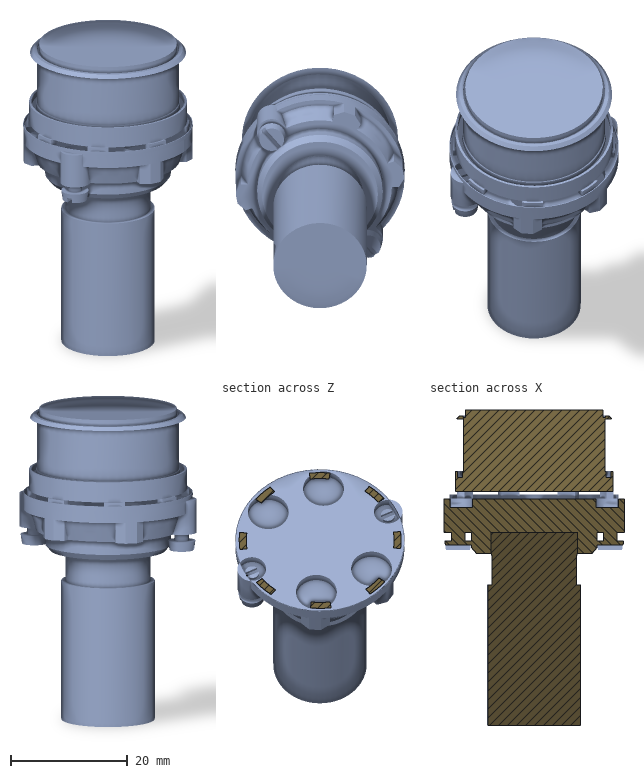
import cadquery as cq
import math

stem_step_z = 24.1
collar_bottom_z = 29.15
cup_bottom_z = 29.4
cup_chamfer_z = 30.4
cone_bottom_z = 32.95
flange_bottom_z = 36.6
flange_top_z = 38.8
lip_top_z = 39.5
skirt_bottom_z = 40.0
skirt_top_z = 43.5
rim_bottom_z = 52.4
rim_top_z = 53.0
head_top_z = 54.0

cap_radius = 23.55 / 2
cap_groove_radius = 12.15
cap_groove_depth = 0.3
rim_top_radius = 12.8
rim_bottom_radius = 13.35
barrel_radius = 12.15
skirt_radius = 13.5
skirt_groove_inner_radius = 12.35
skirt_groove_outer_radius = 13.1
skirt_groove_depth = 1.0

foot_count = 8
foot_start_angle = 11.2
foot_sweep_angle = 15.0
foot_inner_radius = 12.6
foot_outer_radius = 13.9

lip_radius = 14.5
lip_thickness = 0.12
flange_radius = 14.47
cone_top_radius = 13.5
cone_bottom_radius = 24.6 / 2
cup_radius = 21.5 / 2
cup_bottom_radius = 19.8 / 2

leg_angles = (30, 150, 210, 330)
leg_face_half_angle = 4.0
leg_root_half_angle = 10.5

leg_pocket_radius = 7.0 / 2
leg_pocket_wall = 0.4
leg_pocket_offset = flange_radius - leg_pocket_wall - leg_pocket_radius
leg_pocket_depth = 1.6
boss_pocket_depth = 1.5

boss_angles = (90, 270)
screw_offset = 13.0
boss_radius = 2.5
boss_pocket_radius = 2.4
screw_radius = 2.4 / 2
screw_tip_height = 0.5
screw_head_top_z = 31.6
screw_head_bottom_z = 29.95
screw_head_top_radius = 2.35
screw_head_bottom_radius = 2.1
slot_width = 0.85
slot_depth = 0.85

stem_radius = 16.0 / 2
neck_radius = 14.6 / 2
collar_radius = 14.7 / 2


def cylinder(radius, bottom_z, top_z, x=0.0, y=0.0):
    """Upright cylinder between two heights."""
    return cq.Workplane("XY", origin=(x, y, bottom_z)).circle(radius).extrude(top_z - bottom_z)


def cone(bottom_radius, top_radius, bottom_z, top_z, x=0.0, y=0.0):
    """Upright truncated cone between two heights."""
    solid = cq.Solid.makeCone(bottom_radius, top_radius, top_z - bottom_z, pnt=cq.Vector(x, y, bottom_z))
    return cq.Workplane(solid)


def tube(inner_radius, outer_radius, bottom_z, top_z):
    """Upright ring between two heights."""
    height = top_z - bottom_z
    base = cq.Workplane("XY", origin=(0, 0, bottom_z))
    return base.circle(outer_radius).circle(inner_radius).extrude(height)


def polar(radius, angle):
    """Point in the XY plane at a radius and an angle in degrees."""
    return radius * math.cos(math.radians(angle)), radius * math.sin(math.radians(angle))


def make_foot(start_angle):
    """Short arc-shaped block below the skirt."""
    end_angle = start_angle + foot_sweep_angle
    middle_angle = start_angle + foot_sweep_angle / 2
    return (
        cq.Workplane("XY", origin=(0, 0, flange_top_z))
        .moveTo(*polar(foot_inner_radius, start_angle))
        .lineTo(*polar(foot_outer_radius, start_angle))
        .threePointArc(polar(foot_outer_radius, middle_angle), polar(foot_outer_radius, end_angle))
        .lineTo(*polar(foot_inner_radius, end_angle))
        .threePointArc(polar(foot_inner_radius, middle_angle), polar(foot_inner_radius, start_angle))
        .close()
        .extrude(skirt_bottom_z - flange_top_z)
    )


def make_head():
    """Capped barrel with its rim, skirt and feet."""
    head = cylinder(skirt_radius, skirt_bottom_z, skirt_top_z)
    groove_bottom_z = skirt_top_z - skirt_groove_depth
    head = head.cut(tube(skirt_groove_inner_radius, skirt_groove_outer_radius, groove_bottom_z, skirt_top_z))
    head = head.union(cylinder(barrel_radius, skirt_bottom_z, rim_bottom_z))
    head = head.union(cone(rim_bottom_radius, rim_top_radius, rim_bottom_z, rim_top_z))
    head = head.union(cylinder(cap_radius, rim_bottom_z, head_top_z))
    head = head.cut(tube(cap_radius, cap_groove_radius, rim_top_z - cap_groove_depth, rim_top_z))
    for index in range(foot_count):
        head = head.union(make_foot(foot_start_angle + index * 360 / foot_count))
    return head


def make_leg(angle):
    """Wedge below the flange with a narrow outer face and two bevelled flanks."""
    return (
        cq.Workplane("XY", origin=(0, 0, cone_bottom_z))
        .moveTo(0, 0)
        .lineTo(*polar(cone_top_radius, angle - leg_root_half_angle))
        .lineTo(*polar(flange_radius, angle - leg_face_half_angle))
        .threePointArc(polar(flange_radius, angle), polar(flange_radius, angle + leg_face_half_angle))
        .lineTo(*polar(cone_top_radius, angle + leg_root_half_angle))
        .close()
        .extrude(flange_bottom_z - cone_bottom_z)
    )


def make_boss(angle):
    """Round screw boss with a straight web that runs in under the flange."""
    boss = cylinder(boss_radius, cone_bottom_z, flange_top_z, *polar(screw_offset, angle))
    web = (
        cq.Workplane("XY", origin=(0, 0, cone_bottom_z))
        .transformed(rotate=(0, 0, angle))
        .rect(screw_offset, 2 * boss_radius, centered=(False, True))
        .extrude(flange_bottom_z - cone_bottom_z)
    )
    return boss.union(web)


def make_pocket(radius, offset, angle, depth):
    """Round pocket in the flange top, kept inside the lip."""
    bottom_z = flange_top_z - depth
    pocket = cylinder(radius, bottom_z, flange_top_z, *polar(offset, angle))
    return pocket.intersect(cylinder(lip_radius - lip_thickness, bottom_z, flange_top_z))


def make_slot(x, y, start_z, depth):
    """Screwdriver slot along Y, cut up or down from a screw end."""
    return (
        cq.Workplane("XY", origin=(x, y, start_z))
        .rect(slot_width, 2 * screw_head_top_radius)
        .extrude(depth)
    )


def make_screw(angle):
    """Slotted screw from its head up to the tip that stands in the boss pocket."""
    x, y = polar(screw_offset, angle)
    tip_z = flange_top_z - boss_pocket_depth + screw_tip_height
    shank = cylinder(screw_radius, screw_head_top_z, tip_z, x, y)
    screw_head = cone(
        screw_head_bottom_radius, screw_head_top_radius, screw_head_bottom_z, screw_head_top_z, x, y
    )
    head_slot = make_slot(x, y, screw_head_bottom_z, slot_depth)
    tip_slot = make_slot(x, y, tip_z, -screw_tip_height)
    return shank.union(screw_head).cut(head_slot).cut(tip_slot)


def make_clamp():
    """Lipped flange with legs, bosses, screws and the cup that holds the stem."""
    clamp = cylinder(flange_radius, flange_bottom_z, flange_top_z)
    clamp = clamp.union(tube(lip_radius - lip_thickness, lip_radius, flange_top_z, lip_top_z))
    clamp = clamp.union(cone(cone_bottom_radius, cone_top_radius, cone_bottom_z, flange_bottom_z))
    clamp = clamp.union(cylinder(cup_radius, cup_chamfer_z, cone_bottom_z))
    clamp = clamp.union(cone(cup_bottom_radius, cup_radius, cup_bottom_z, cup_chamfer_z))
    for angle in leg_angles:
        clamp = clamp.union(make_leg(angle))
        clamp = clamp.cut(make_pocket(leg_pocket_radius, leg_pocket_offset, angle, leg_pocket_depth))
    for angle in boss_angles:
        clamp = clamp.union(make_boss(angle))
        clamp = clamp.cut(make_pocket(boss_pocket_radius, screw_offset, angle, boss_pocket_depth))
        clamp = clamp.union(make_screw(angle))
    return clamp.cut(cylinder(collar_radius, cup_bottom_z, cone_bottom_z))


def make_stem():
    """Round stem with a narrower neck and the collar that seats in the cup."""
    stem = cylinder(stem_radius, 0, stem_step_z)
    stem = stem.union(cylinder(neck_radius, stem_step_z, collar_bottom_z))
    return stem.union(cylinder(collar_radius, collar_bottom_z, cone_bottom_z))


head = make_head()
clamp = make_clamp()
stem = make_stem()

result = cq.Compound.makeCompound([head.val(), clamp.val(), stem.val()])